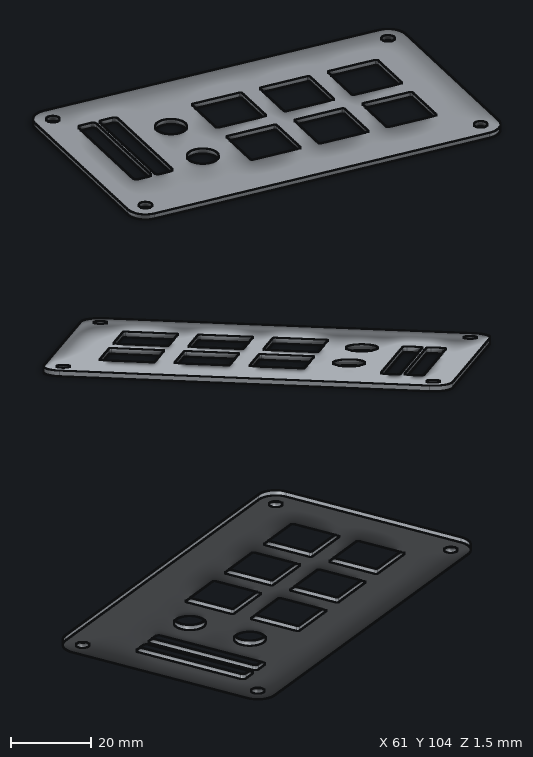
import cadquery as cq

plate_width = 61.0
plate_length = 104.0
plate_thickness = 1.5
corner_radius = 5.0

mount_hole_diameter = 3.4
mount_hole_spacing_x = plate_width - 2 * corner_radius
mount_hole_spacing_y = plate_length - 2 * corner_radius

key_size = 14.0
key_corner_radius = 0.5
key_pitch = 19.05
key_columns = 2
key_rows = 3
key_grid_center = (-0.25, 13.425)

round_hole_diameter = 8.0
round_hole_pitch = 17.5
round_pair_center = (0.2, -22.5)

slot_length = 31.8
slot_width = 5.0
slot_corner_radius = 1.0
slot_pitch = 6.0
slot_pair_center = (-3.45, -37.9)


def spread(count, pitch):
    """Evenly spaced positions centred on zero."""
    return [(index - (count - 1) / 2) * pitch for index in range(count)]


def grid_points(center, columns=1, pitch_x=0.0, rows=1, pitch_y=0.0):
    """Points of a rectangular grid around a centre."""
    center_x, center_y = center
    return [
        (center_x + x, center_y + y)
        for x in spread(columns, pitch_x)
        for y in spread(rows, pitch_y)
    ]


def round_cutters(points, diameter):
    """Cylinders through the full plate thickness."""
    return cq.Workplane("XY").pushPoints(points).circle(diameter / 2).extrude(plate_thickness)


def rectangular_cutters(points, width, height, radius):
    """Blocks through the full plate thickness, with rounded vertical edges."""
    blocks = cq.Workplane("XY").pushPoints(points).rect(width, height).extrude(plate_thickness)
    return blocks.edges("|Z").fillet(radius)


def make_plate():
    """Flat plate with rounded corners, centred on X and Y, standing on Z = 0."""
    plate = cq.Workplane("XY").rect(plate_width, plate_length).extrude(plate_thickness)
    return plate.edges("|Z").fillet(corner_radius)


def mount_hole_cutters():
    points = grid_points(
        (0, 0), columns=2, pitch_x=mount_hole_spacing_x, rows=2, pitch_y=mount_hole_spacing_y
    )
    return round_cutters(points, mount_hole_diameter)


def key_cutters():
    points = grid_points(
        key_grid_center, columns=key_columns, pitch_x=key_pitch, rows=key_rows, pitch_y=key_pitch
    )
    return rectangular_cutters(points, key_size, key_size, key_corner_radius)


def round_hole_cutters():
    points = grid_points(round_pair_center, columns=2, pitch_x=round_hole_pitch)
    return round_cutters(points, round_hole_diameter)


def slot_cutters():
    points = grid_points(slot_pair_center, rows=2, pitch_y=slot_pitch)
    return rectangular_cutters(points, slot_length, slot_width, slot_corner_radius)


result = (
    make_plate()
    .cut(mount_hole_cutters())
    .cut(key_cutters())
    .cut(round_hole_cutters())
    .cut(slot_cutters())
)